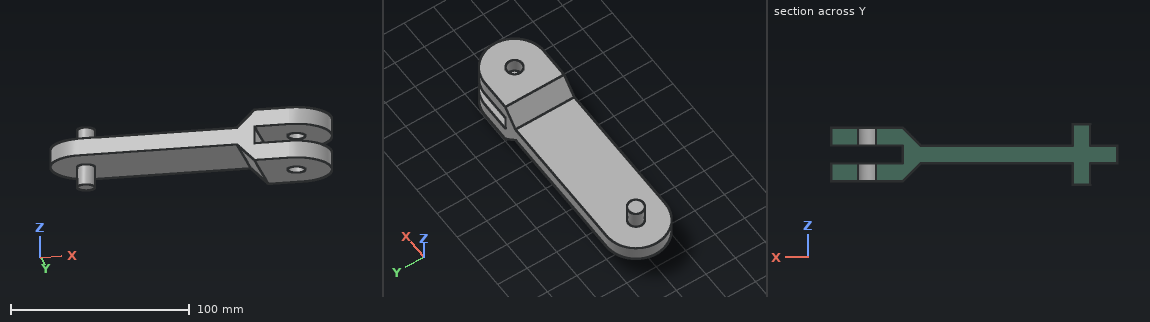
import cadquery as cq

width = 40.0
pivot_spacing = 120.0
plate_thickness = 10.0
arm_thickness = 10.0
pivot_diameter = 10.0
pin_length = 34.0
slot_depth = 40.0
arm_ramp_length = 10.0

end_radius = width / 2
fork_tip_x = pivot_spacing + end_radius
slot_floor_x = fork_tip_x - slot_depth
ramp_start_x = slot_floor_x - arm_ramp_length
plate_half = plate_thickness / 2
fork_half = plate_half + arm_thickness
profile_end_x = fork_tip_x + end_radius


def make_plate():
    """Flat link plate with a round pin end, square at the slot floor."""
    return (
        cq.Workplane("XY")
        .workplane(offset=-plate_half)
        .moveTo(0, end_radius)
        .lineTo(slot_floor_x, end_radius)
        .lineTo(slot_floor_x, -end_radius)
        .lineTo(0, -end_radius)
        .threePointArc((-end_radius, 0), (0, end_radius))
        .close()
        .extrude(plate_thickness)
    )


def make_arm(side):
    """Fork arm on one face of the plate; side is +1 (upper) or -1 (lower)."""
    profile = (
        cq.Workplane("XZ")
        .moveTo(ramp_start_x, side * plate_half)
        .lineTo(slot_floor_x, side * fork_half)
        .lineTo(profile_end_x, side * fork_half)
        .lineTo(profile_end_x, side * plate_half)
        .close()
        .extrude(end_radius, both=True)
    )
    outline = (
        cq.Workplane("XY")
        .workplane(offset=-fork_half)
        .moveTo(ramp_start_x, -end_radius)
        .lineTo(pivot_spacing, -end_radius)
        .threePointArc((fork_tip_x, 0), (pivot_spacing, end_radius))
        .lineTo(ramp_start_x, end_radius)
        .close()
        .extrude(2 * fork_half)
    )
    return profile.intersect(outline)


def make_pivot_cylinder(x, length):
    """Vertical cylinder of the pivot diameter, centred on Z = 0."""
    return (
        cq.Workplane("XY")
        .center(x, 0)
        .circle(pivot_diameter / 2)
        .extrude(length / 2, both=True)
    )


link = make_plate()
for side in (1, -1):
    link = link.union(make_arm(side))

pin = make_pivot_cylinder(0, pin_length)
fork_hole = make_pivot_cylinder(pivot_spacing, 2 * fork_half)

result = link.union(pin).cut(fork_hole)